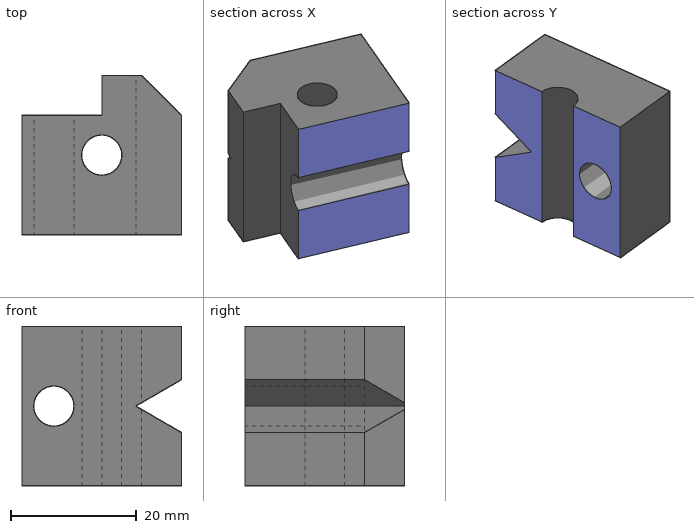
import cadquery as cq
import math

CUBE = 25.4
HALF = CUBE / 2
STEP_DEPTH = 6.35
CORNER_CUT = 6.35
HOLE_DIAMETER = 6.35
CROSS_HOLE_X = 5.08
VEE_DEPTH = 7.26
VEE_ANGLE = 60.0


def stepped_block():
    """Cube with a notched back-left and a cut back-right corner; one corner at the origin."""
    return (
        cq.Workplane("XY")
        .moveTo(0, 0)
        .lineTo(CUBE, 0)
        .lineTo(CUBE, CUBE - CORNER_CUT)
        .lineTo(CUBE - CORNER_CUT, CUBE)
        .lineTo(HALF, CUBE)
        .lineTo(HALF, CUBE - STEP_DEPTH)
        .lineTo(0, CUBE - STEP_DEPTH)
        .close()
        .extrude(CUBE)
    )


def vertical_hole():
    """Through hole along Z, centred on the cube."""
    return cq.Workplane("XY").center(HALF, HALF).circle(HOLE_DIAMETER / 2).extrude(CUBE)


def cross_hole():
    """Through hole along Y at mid height, near the left side."""
    return cq.Workplane("XZ").center(CROSS_HOLE_X, HALF).circle(HOLE_DIAMETER / 2).extrude(-CUBE)


def vee_groove():
    """Symmetric vee along Y, open on the +X side."""
    half_width = VEE_DEPTH * math.tan(math.radians(VEE_ANGLE / 2))
    return (
        cq.Workplane("XZ")
        .moveTo(CUBE - VEE_DEPTH, HALF)
        .lineTo(CUBE, HALF + half_width)
        .lineTo(CUBE, HALF - half_width)
        .close()
        .extrude(-CUBE)
    )


result = stepped_block().cut(vertical_hole()).cut(cross_hole()).cut(vee_groove())